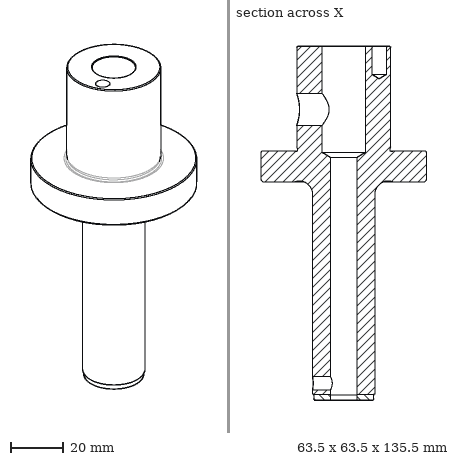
import cadquery as cq
import math

TOTAL_LENGTH = 135.5
HEAD_RADIUS = 18.0
HEAD_TOP_CHAMFER = 0.4
FLANGE_DIAMETER = 63.5
FLANGE_RADIUS = FLANGE_DIAMETER / 2
FLANGE_TOP_Z = 95.4
FLANGE_THICKNESS = 11.9
FLANGE_BOTTOM_Z = FLANGE_TOP_Z - FLANGE_THICKNESS
FLANGE_TOP_CHAMFER = 0.4
FLANGE_BOTTOM_CHAMFER = 0.8
SHAFT_DIAMETER = 24.0
SHAFT_RADIUS = SHAFT_DIAMETER / 2
SHAFT_FILLET = 5.3
UNDERSIDE_RELIEF_DEPTH = 0.4
UNDERSIDE_RELIEF_RADIUS = 19.0
SHAFT_END_CHAMFER = 0.4

UNDERCUT_HEIGHT = 1.5
UNDERCUT_WIDTH = 1.02
UNDERCUT_CORNER_RADIUS = 0.5
UNDERCUT_HEAD_SLOPE = math.radians(15)
UNDERCUT_FACE_SLOPE = math.radians(8)

TIP_RADIUS = SHAFT_RADIUS - SHAFT_END_CHAMFER
TIP_LENGTH = 2.0
TIP_CHAMFER = 0.4

WIDE_BORE_RADIUS = 8.3
WIDE_BORE_DEPTH = 40.6
WIDE_BORE_CHAMFER = 0.3
NARROW_BORE_RADIUS = 5.0
DRILL_HALF_ANGLE = math.radians(59)

SIDE_HOLE_RADIUS = 2.7
SIDE_HOLE_Y = -13.5
SIDE_HOLE_DEPTH = 10.8

HEAD_PORT_RADIUS = 6.1
HEAD_PORT_Z = 111.2
SHAFT_PORT_RADIUS = 2.5
SHAFT_PORT_Z = 6.5


def drill_tip_length(large_radius, small_radius=0.0):
    """Axial length of a drill-point cone between two radii."""
    return (large_radius - small_radius) / math.tan(DRILL_HALF_ANGLE)


def undercut_points():
    """Arc start on the flange face side, then arc end on the head side, as (radius, z)."""
    slope_sum = UNDERCUT_FACE_SLOPE + UNDERCUT_HEAD_SLOPE
    face_length = (
        UNDERCUT_WIDTH * math.cos(UNDERCUT_HEAD_SLOPE)
        + UNDERCUT_HEIGHT * math.sin(UNDERCUT_HEAD_SLOPE)
    ) / math.cos(slope_sum)
    corner_radius = HEAD_RADIUS + UNDERCUT_WIDTH - face_length * math.cos(UNDERCUT_FACE_SLOPE)
    corner_z = FLANGE_TOP_Z - face_length * math.sin(UNDERCUT_FACE_SLOPE)
    tangent_length = UNDERCUT_CORNER_RADIUS * math.tan((math.pi / 2 + slope_sum) / 2)
    face_point = (
        corner_radius + tangent_length * math.cos(UNDERCUT_FACE_SLOPE),
        corner_z + tangent_length * math.sin(UNDERCUT_FACE_SLOPE),
    )
    head_point = (
        corner_radius + tangent_length * math.sin(UNDERCUT_HEAD_SLOPE),
        corner_z + tangent_length * math.cos(UNDERCUT_HEAD_SLOPE),
    )
    return face_point, head_point


def make_spindle_blank():
    """Turned outside of the spindle, revolved about Z."""
    relief_z = FLANGE_BOTTOM_Z + UNDERSIDE_RELIEF_DEPTH
    undercut_face_point, undercut_head_point = undercut_points()
    return (
        cq.Workplane("XZ")
        .moveTo(0, TIP_LENGTH)
        .lineTo(SHAFT_RADIUS - SHAFT_END_CHAMFER, TIP_LENGTH)
        .lineTo(SHAFT_RADIUS, TIP_LENGTH + SHAFT_END_CHAMFER)
        .lineTo(SHAFT_RADIUS, relief_z - SHAFT_FILLET)
        .tangentArcPoint((SHAFT_RADIUS + SHAFT_FILLET, relief_z), relative=False)
        .lineTo(UNDERSIDE_RELIEF_RADIUS, FLANGE_BOTTOM_Z)
        .lineTo(FLANGE_RADIUS - FLANGE_BOTTOM_CHAMFER, FLANGE_BOTTOM_Z)
        .lineTo(FLANGE_RADIUS, FLANGE_BOTTOM_Z + FLANGE_BOTTOM_CHAMFER)
        .lineTo(FLANGE_RADIUS, FLANGE_TOP_Z - FLANGE_TOP_CHAMFER)
        .lineTo(FLANGE_RADIUS - FLANGE_TOP_CHAMFER, FLANGE_TOP_Z)
        .lineTo(HEAD_RADIUS + UNDERCUT_WIDTH, FLANGE_TOP_Z)
        .lineTo(*undercut_face_point)
        .tangentArcPoint(undercut_head_point, relative=False)
        .lineTo(HEAD_RADIUS, FLANGE_TOP_Z + UNDERCUT_HEIGHT)
        .lineTo(HEAD_RADIUS, TOTAL_LENGTH - HEAD_TOP_CHAMFER)
        .lineTo(HEAD_RADIUS - HEAD_TOP_CHAMFER, TOTAL_LENGTH)
        .lineTo(0, TOTAL_LENGTH)
        .close()
        .revolve(360, (0, 0, 0), (0, 1, 0))
    )


def make_axial_passage():
    """Cutter for the stepped bore along Z."""
    wide_bottom_z = TOTAL_LENGTH - WIDE_BORE_DEPTH
    cone_bottom_z = wide_bottom_z - drill_tip_length(WIDE_BORE_RADIUS, NARROW_BORE_RADIUS)
    return (
        cq.Workplane("XZ")
        .moveTo(0, 0)
        .lineTo(NARROW_BORE_RADIUS, 0)
        .lineTo(NARROW_BORE_RADIUS, cone_bottom_z)
        .lineTo(WIDE_BORE_RADIUS, wide_bottom_z)
        .lineTo(WIDE_BORE_RADIUS, TOTAL_LENGTH - WIDE_BORE_CHAMFER)
        .lineTo(WIDE_BORE_RADIUS + WIDE_BORE_CHAMFER, TOTAL_LENGTH)
        .lineTo(0, TOTAL_LENGTH)
        .close()
        .revolve(360, (0, 0, 0), (0, 1, 0))
    )


def make_side_hole():
    """Cutter for the blind hole with its conical bottom."""
    hole_bottom_z = TOTAL_LENGTH - SIDE_HOLE_DEPTH
    return (
        cq.Workplane("XZ")
        .moveTo(0, hole_bottom_z - drill_tip_length(SIDE_HOLE_RADIUS))
        .lineTo(SIDE_HOLE_RADIUS, hole_bottom_z)
        .lineTo(SIDE_HOLE_RADIUS, TOTAL_LENGTH)
        .lineTo(0, TOTAL_LENGTH)
        .close()
        .revolve(360, (0, 0, 0), (0, 1, 0))
        .translate((0, SIDE_HOLE_Y, 0))
    )


def make_port(radius, z):
    """Cutter for a radial hole from the axis out through the +Y side."""
    return cq.Workplane("XZ").center(0, z).circle(radius).extrude(-HEAD_RADIUS)


def make_spindle():
    return (
        make_spindle_blank()
        .cut(make_axial_passage())
        .cut(make_side_hole())
        .cut(make_port(HEAD_PORT_RADIUS, HEAD_PORT_Z))
        .cut(make_port(SHAFT_PORT_RADIUS, SHAFT_PORT_Z))
    )


def make_tip():
    """Disc against the shaft end, chamfered at the bottom and bored through."""
    return (
        cq.Workplane("XY")
        .circle(TIP_RADIUS)
        .extrude(TIP_LENGTH)
        .faces("<Z")
        .chamfer(TIP_CHAMFER)
        .cut(make_axial_passage())
    )


spindle = make_spindle()
tip = make_tip()

result = cq.Compound.makeCompound([spindle.val(), tip.val()])